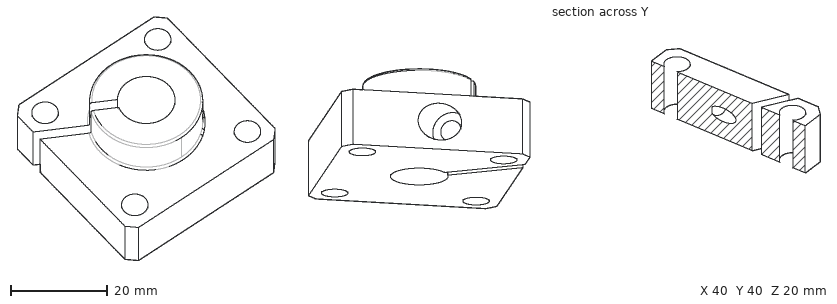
import cadquery as cq
import math

side = 40
flange_height = 12
corner_chamfer = 2
mount_spacing = 30
mount_diameter = 5.5

total_height = 20
boss_height = total_height - flange_height
boss_diameter = 23.6
boss_round = 0.5
bore_diameter = 12

slit_width = 2
slit_angle = 240
slit_length = side

screw_offset = 10.4
screw_height = flange_height / 2
screw_diameter = 4.5
thread_diameter = 3.3
thread_depth = 10
head_diameter = 8
head_seat = 10
head_clearance = side


def make_flange():
    plate = (
        cq.Workplane("XY")
        .rect(side, side)
        .extrude(flange_height)
        .edges("|Z")
        .chamfer(corner_chamfer)
    )
    return (
        plate.faces(">Z")
        .workplane()
        .rect(mount_spacing, mount_spacing, forConstruction=True)
        .vertices()
        .hole(mount_diameter)
    )


def make_boss():
    """Boss with a rounded top edge and a concave fillet at its foot."""
    radius = boss_diameter / 2
    diagonal = boss_round * (1 - math.sqrt(0.5))
    foot = flange_height
    top = flange_height + boss_height
    profile = (
        cq.Workplane("XZ")
        .moveTo(0, foot)
        .lineTo(radius + boss_round, foot)
        .threePointArc((radius + diagonal, foot + diagonal), (radius, foot + boss_round))
        .lineTo(radius, top - boss_round)
        .threePointArc((radius - diagonal, top - diagonal), (radius - boss_round, top))
        .lineTo(0, top)
        .close()
    )
    return profile.revolve(360, (0, 0, 0), (0, 1, 0))


def make_slit():
    return (
        cq.Workplane("XY")
        .center(slit_length / 2, 0)
        .rect(slit_length, slit_width)
        .extrude(total_height)
        .rotate((0, 0, 0), (0, 0, 1), slit_angle)
    )


def make_screw_hole():
    """Counterbored hole, narrowing past the slit to a blind thread hole."""
    head_side = cq.Workplane("XZ", origin=(screw_offset, -head_seat, screw_height))
    shank = head_side.circle(screw_diameter / 2).extrude(-head_seat)
    thread = head_side.circle(thread_diameter / 2).extrude(-(head_seat + thread_depth))
    head = head_side.circle(head_diameter / 2).extrude(head_clearance)
    return shank.union(thread).union(head).rotate((0, 0, 0), (0, 0, 1), slit_angle)


bore = cq.Workplane("XY").circle(bore_diameter / 2).extrude(total_height)

result = make_flange().union(make_boss()).cut(bore).cut(make_slit()).cut(make_screw_hole())